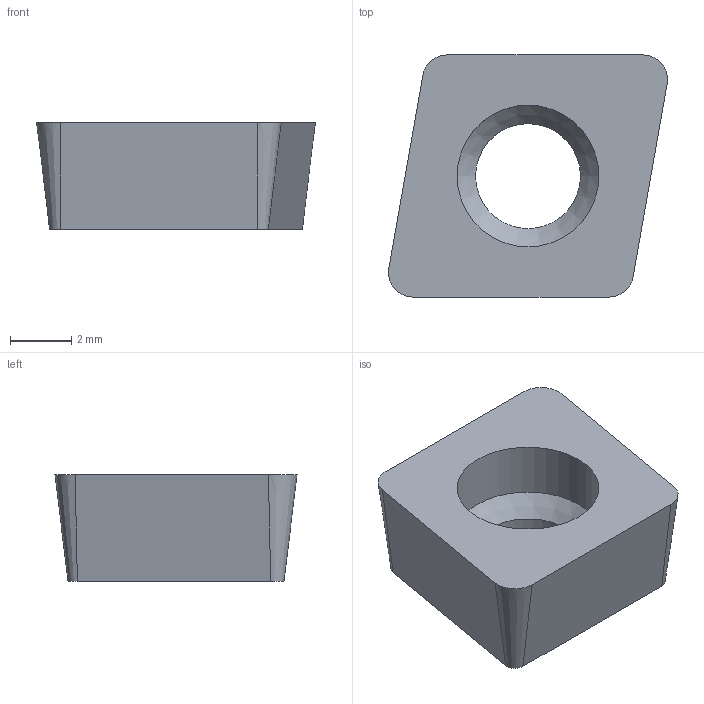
import cadquery as cq
import math

inscribed_diameter = 7.9375
corner_angle = 80.0
corner_radius = 0.8
thickness = 3.5
relief_angle = 7.0

head_diameter = 4.65
head_depth = 1.8
shank_diameter = 3.44
seat_depth = 2.45


def insert_body():
    """Rounded rhombus that narrows from the top face to the bottom face."""
    half_height = inscribed_diameter / 2
    side_length = inscribed_diameter / math.sin(math.radians(corner_angle))
    half_side = side_length / 2
    lean = half_height / math.tan(math.radians(corner_angle))
    corners = [
        (half_side + lean, half_height),
        (-half_side + lean, half_height),
        (-half_side - lean, -half_height),
        (half_side - lean, -half_height),
    ]
    outline = cq.Sketch().polygon(corners + corners[:1]).vertices().fillet(corner_radius)
    return (
        cq.Workplane("XY", origin=(0, 0, thickness))
        .placeSketch(outline)
        .extrude(-thickness, taper=relief_angle)
    )


def screw_hole():
    """Revolved cutter: head recess, conical seat and shank hole."""
    head_radius = head_diameter / 2
    shank_radius = shank_diameter / 2
    head_floor = thickness - head_depth
    seat_floor = thickness - seat_depth
    return (
        cq.Workplane("XZ")
        .moveTo(0, 0)
        .lineTo(shank_radius, 0)
        .lineTo(shank_radius, seat_floor)
        .lineTo(head_radius, head_floor)
        .lineTo(head_radius, thickness)
        .lineTo(0, thickness)
        .close()
        .revolve(360, (0, 0, 0), (0, 1, 0))
    )


result = insert_body().cut(screw_hole())